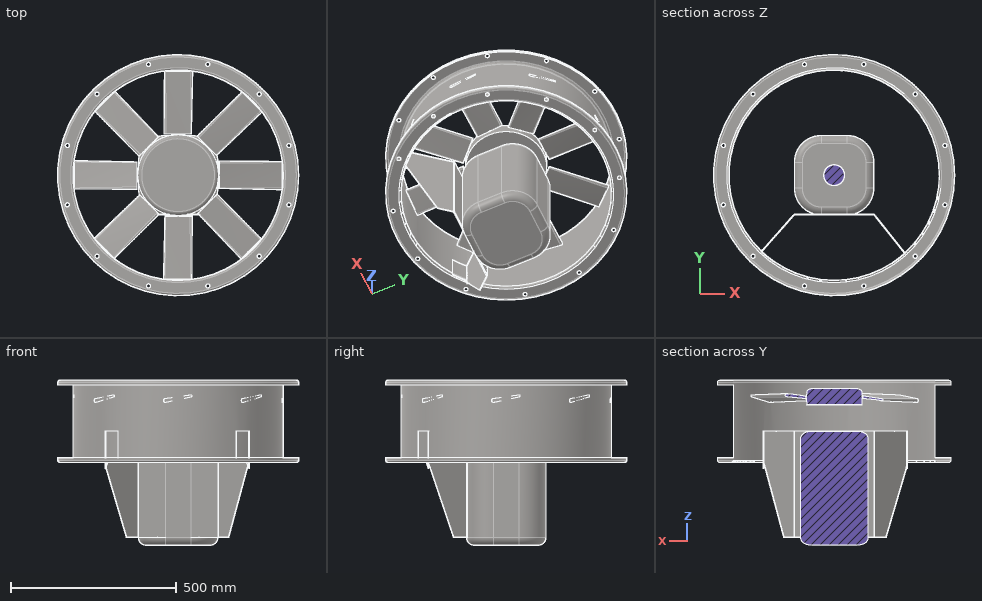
import cadquery as cq
import math

overall_height = 500.0
z_top = overall_height / 2
z_bottom = -overall_height / 2

flange_diameter = 730.0
wall_diameter = 637.0
bore_diameter = 635.0
wall = (wall_diameter - bore_diameter) / 2
bend_radius = 7.0
lip_height = 15.0
duct_bottom = 0.0
duct_height = z_top - duct_bottom
bolt_circle = 693.5
bolt_count = 12
bolt_diameter = 12.0

motor_width = 241.0
motor_corner = 82.0
motor_edge_fillet = 24.0
motor_top = 95.5
motor_half = motor_width / 2

sheet = 2.0
bracket_bottom = z_bottom + motor_edge_fillet
bracket_top = motor_top
panel_depth = 4.0
left_wing_angle = 48.5
left_foot_length = 52.5
left_shoulder_length = 145.0
right_wing_angle = 51.5
right_foot_length = 50.5
right_shoulder_length = 140.0
wing_shoulder_z = -17.5
tab_length = 50.0
tab_stand_off = 1.0
tab_corner_run = 9.5

hub_diameter = 245.0
hub_bottom = 174.5
hub_top = 225.0
hub_fillet = 12.5
shaft_diameter = 63.5

blade_count = 8
root_mid_z = 198.0
tip_mid_z = 195.0
blade_root = 124.0
blade_tip = 314.5
thick_edge_radius = 6.0
thin_edge_radius = 3.15
root_half_chord = 37.0
tip_half_chord = 39.0
root_half_rise = 6.5
tip_half_rise = 6.9
pin_diameter = 6.0
pin_embed = 7.0


def make_flange():
    """Bent flange ring whose flat face lies on z = 0, with the lip pointing up."""
    bore = bore_diameter / 2
    rim = flange_diameter / 2
    inner_bend = bend_radius - wall
    diagonal = math.sqrt(0.5)
    outer_mid = bend_radius * diagonal
    inner_mid = inner_bend * diagonal
    bore_centre = bore + bend_radius
    rim_centre = rim - bend_radius
    profile = (
        cq.Workplane("XZ")
        .moveTo(bore, bend_radius)
        .threePointArc((bore_centre - outer_mid, bend_radius - outer_mid), (bore_centre, 0))
        .lineTo(rim_centre, 0)
        .threePointArc((rim_centre + outer_mid, bend_radius - outer_mid), (rim, bend_radius))
        .lineTo(rim, lip_height)
        .lineTo(rim - wall, lip_height)
        .lineTo(rim - wall, bend_radius)
        .threePointArc((rim_centre + inner_mid, bend_radius - inner_mid), (rim_centre, wall))
        .lineTo(bore_centre, wall)
        .threePointArc((bore_centre - inner_mid, bend_radius - inner_mid), (bore + wall, bend_radius))
        .close()
    )
    ring = profile.revolve(360, (0, 0, 0), (0, 1, 0))
    half_pitch = 180 / bolt_count
    holes = (
        cq.Workplane("XY")
        .polarArray(bolt_circle / 2, half_pitch, 360, bolt_count)
        .circle(bolt_diameter / 2)
        .extrude(bend_radius)
    )
    return ring.cut(holes)


def make_duct():
    tube = (
        cq.Workplane("XY", origin=(0, 0, duct_bottom + bend_radius))
        .circle(wall_diameter / 2)
        .circle(bore_diameter / 2)
        .extrude(duct_height - 2 * bend_radius)
    )
    lower = make_flange().translate((0, 0, duct_bottom))
    upper = make_flange().mirror("XY").translate((0, 0, z_top))
    return tube.union(lower).union(upper)


def make_motor():
    return (
        cq.Workplane("XY", origin=(0, 0, z_bottom))
        .rect(motor_width, motor_width)
        .extrude(motor_top - z_bottom)
        .edges("|Z")
        .fillet(motor_corner)
        .faces("<Z or >Z")
        .edges()
        .fillet(motor_edge_fillet)
    )


def make_wing(angle, foot_length, shoulder_length):
    """Wing and tab on the +X side; angle is measured from +X towards -Y.

    The foot and shoulder lengths are the reach of the wing at the ends of its slanted edge.
    """
    cos_a = math.cos(math.radians(angle))
    sin_a = math.sin(math.radians(angle))
    duct_radius = wall_diameter / 2
    along = motor_half * (cos_a + sin_a)
    length = -along + math.sqrt(along**2 + duct_radius**2 - 2 * motor_half**2)
    wing_plane = cq.Plane(
        origin=(motor_half, -motor_half, 0),
        xDir=(cos_a, -sin_a, 0),
        normal=(-sin_a, -cos_a, 0),
    )
    wing = (
        cq.Workplane(wing_plane)
        .polyline([
            (0, bracket_bottom),
            (foot_length, bracket_bottom),
            (shoulder_length, wing_shoulder_z),
            (length, duct_bottom),
            (length, bracket_top),
            (0, bracket_top),
        ])
        .close()
        .extrude(-sheet)
    )

    end_x = motor_half + length * cos_a + sheet * sin_a
    end_y = motor_half + length * sin_a - sheet * cos_a
    start_angle = math.degrees(math.atan2(end_y, end_x))
    sweep = math.degrees(tab_length / duct_radius)
    tab_inner = bore_diameter / 2
    tab_outer = duct_radius + tab_stand_off
    tab = (
        cq.Workplane("XZ")
        .moveTo(tab_inner, wing_shoulder_z)
        .lineTo(tab_outer, wing_shoulder_z)
        .lineTo(tab_outer, bracket_top)
        .lineTo(tab_inner, bracket_top)
        .close()
        .revolve(sweep, (0, 0, 0), (0, -1, 0))
        .rotate((0, 0, 0), (0, 0, 1), -start_angle)
    )

    start_rad = math.radians(start_angle)
    tangent_plane = cq.Plane(
        origin=(0, 0, 0),
        xDir=(-math.sin(start_rad), -math.cos(start_rad), 0),
        normal=(-math.cos(start_rad), math.sin(start_rad), 0),
    )
    corner = (
        cq.Workplane(tangent_plane)
        .polyline([
            (0, wing_shoulder_z),
            (tab_corner_run, duct_bottom),
            (2 * tab_length, duct_bottom),
            (2 * tab_length, wing_shoulder_z),
        ])
        .close()
        .extrude(-flange_diameter / 2)
    )
    return wing.union(tab.cut(corner))


def make_bracket():
    panel = cq.Workplane("XY").box(
        motor_width, panel_depth, bracket_top - bracket_bottom, centered=(True, False, False)
    )
    panel = panel.translate((0, -motor_half, bracket_bottom))
    right = make_wing(right_wing_angle, right_foot_length, right_shoulder_length)
    left = make_wing(left_wing_angle, left_foot_length, left_shoulder_length).mirror("YZ")
    return panel.union(right).union(left)


def make_hub():
    hub = (
        cq.Workplane("XY", origin=(0, 0, hub_bottom))
        .circle(hub_diameter / 2)
        .extrude(hub_top - hub_bottom)
        .faces(">Z")
        .edges()
        .fillet(hub_fillet)
    )
    shaft = (
        cq.Workplane("XY", origin=(0, 0, motor_top))
        .circle(shaft_diameter / 2)
        .extrude(hub_bottom - motor_top)
    )
    return hub.union(shaft)


def blade_section(sketch, half_chord, half_rise, low_radius, high_radius):
    """Outline of two round edges joined by tangent lines, from the lower to the upper edge."""
    slope = math.atan2(half_rise, half_chord)
    spacing = 2 * math.hypot(half_chord, half_rise)
    lean = math.asin((low_radius - high_radius) / spacing)

    def low_point(angle):
        return (-half_chord + low_radius * math.cos(angle), -half_rise + low_radius * math.sin(angle))

    def high_point(angle):
        return (half_chord + high_radius * math.cos(angle), half_rise + high_radius * math.sin(angle))

    upper = slope + math.pi / 2 - lean
    lower = slope - math.pi / 2 + lean
    return (
        sketch.moveTo(*low_point(upper))
        .threePointArc(low_point(slope + math.pi), low_point(lower))
        .lineTo(*high_point(lower))
        .threePointArc(high_point(slope), high_point(upper))
        .close()
    )


def make_blade():
    """Blade along +X, with a short pin that holds its root in the hub."""
    root_plane = cq.Plane(origin=(blade_root, 0, root_mid_z), xDir=(0, 1, 0), normal=(1, 0, 0))
    root = blade_section(
        cq.Workplane(root_plane), root_half_chord, root_half_rise, thin_edge_radius, thick_edge_radius
    )
    tip = blade_section(
        root.workplane(offset=blade_tip - blade_root).center(0, tip_mid_z - root_mid_z),
        tip_half_chord, tip_half_rise, thick_edge_radius, thin_edge_radius,
    )
    blade = tip.loft(ruled=True)
    pin_start = hub_diameter / 2 - pin_embed
    pin = (
        cq.Workplane("YZ", origin=(pin_start, 0, root_mid_z))
        .circle(pin_diameter / 2)
        .extrude(blade_root + pin_embed - pin_start)
    )
    return blade.union(pin)


result = make_duct().union(make_motor())
result = result.union(make_bracket(), clean=False)
result = result.union(make_hub(), clean=False)
blade = make_blade()
for index in range(blade_count):
    turned_blade = blade.rotate((0, 0, 0), (0, 0, 1), index * 360 / blade_count)
    result = result.union(turned_blade, clean=False)